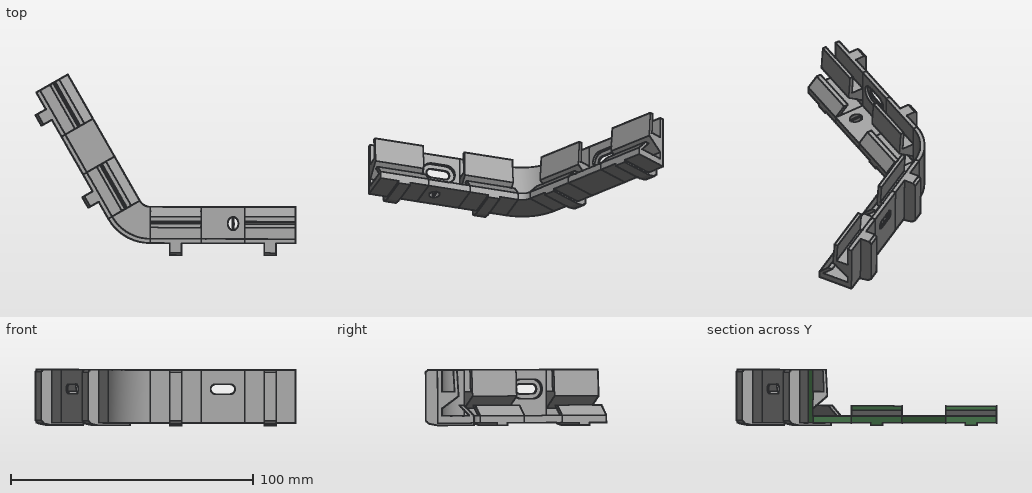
import cadquery as cq

rail_width = 15.0
wall_height = 22.0
wall_thickness = 1.8
floor_thickness = 3.0

lip_corner_height = 3.0
lip_top_height = 7.3
lip_top_inner = 10.9
lip_top_outer = 9.0
lip_root_outer = 13.1

plate_top_outer = 6.5
plate_top_inner = 8.0
plate_root_outer = 7.0
plate_root_inner = 8.65
plate_bottom_height = 11.1
gusset_root_height = 6.0
groove_floor_height = 13.0

clip_length = 21.0
window_length = 18.0

bend_inner_radius = 5.0
bend_outer_radius = bend_inner_radius + rail_width
bend_angle = 60.2

bracket_width = 5.0
bracket_reach = 4.95
bracket_drop = 1.0
bracket_top_chamfer = 1.0
bracket_bottom_chamfer = 1.3
bracket_corner_drop = 0.3

slot_length = 10.0
slot_height = 4.0
slot_center_height = 14.0
slot_web = 0.6
recess_margin = 2.0

oval_length = 5.4
oval_width = 4.3
core_length = 4.6
core_width = 0.8
oval_from_window_start = 13.2
oval_from_outer_face = 8.1

lean_about_x = 0.19
turn_about_z = -0.1


def cross_section(points, start):
    """Closed (u, z) outline on the plane across the straight rail at X = start."""
    plane = cq.Plane(origin=(start, -bend_outer_radius, 0), xDir=(0, 1, 0), normal=(1, 0, 0))
    return cq.Workplane(plane).polyline(points).close()


clip_profile = [
    (0, 0),
    (rail_width, 0),
    (rail_width, lip_corner_height),
    (lip_top_inner, lip_top_height),
    (lip_top_outer, lip_top_height),
    (lip_root_outer, floor_thickness),
    (wall_thickness, floor_thickness),
    (wall_thickness, gusset_root_height),
    (plate_root_inner, plate_bottom_height),
    (plate_top_inner, wall_height),
    (plate_top_outer, wall_height),
    (plate_root_outer, groove_floor_height),
    (wall_thickness, groove_floor_height),
    (wall_thickness, wall_height),
    (0, wall_height),
]

angle_profile = [
    (0, 0),
    (rail_width, 0),
    (rail_width, floor_thickness),
    (wall_thickness, floor_thickness),
    (wall_thickness, wall_height),
    (0, wall_height),
]

bracket_profile = [
    (0, 0),
    (rail_width, 0),
    (rail_width, -bracket_drop),
    (0, -bracket_drop),
    (bracket_bottom_chamfer - bracket_reach, -bracket_corner_drop),
    (-bracket_reach, bracket_bottom_chamfer - bracket_corner_drop),
    (-bracket_reach, wall_height - bracket_top_chamfer),
    (bracket_top_chamfer - bracket_reach, wall_height),
    (0, wall_height),
]


def make_clip_section(start):
    """Rail length with lip and plate, and one bracket at mid-length."""
    rail = cross_section(clip_profile, start).extrude(clip_length)
    bracket_start = start + (clip_length - bracket_width) / 2
    bracket = cross_section(bracket_profile, bracket_start).extrude(bracket_width)
    return rail.union(bracket)


def wall_slot(start, length, height, depth):
    """Round-ended cutter centred in a window wall, sunk outwards from the wall's inner face."""
    center = (start + window_length / 2, wall_thickness - bend_outer_radius, slot_center_height)
    return cq.Workplane("XZ", origin=center).slot2D(length, height).extrude(depth)


def make_window_section(start):
    """Plain angle-section length with a recessed slot in its wall."""
    rail = cross_section(angle_profile, start).extrude(window_length)
    slot = wall_slot(start, slot_length, slot_height, wall_thickness)
    recess = wall_slot(
        start,
        slot_length + 2 * recess_margin,
        slot_height + 2 * recess_margin,
        wall_thickness - slot_web,
    )
    return rail.cut(slot).cut(recess)


def make_bend():
    """Angle section swept round the bend axis from the first arm to the second."""
    axis_start = (bend_outer_radius, 1)
    axis_end = (bend_outer_radius, 0)
    return cross_section(angle_profile, 0).revolve(bend_angle, axis_start, axis_end)


def floor_oval(window_start, length_across, length_along):
    """Elliptical prism through the floor of a window length."""
    center = (window_start + oval_from_window_start, oval_from_outer_face - bend_outer_radius, 0)
    oval = cq.Workplane("XY", origin=center).ellipse(length_along / 2, length_across / 2)
    return oval.extrude(floor_thickness)


def to_second_arm(body):
    """Mirror a body of the first arm onto the arm at the other end of the bend."""
    return body.mirror("YZ").rotate((0, 0, 0), (0, 0, 1), -bend_angle)


window_start = clip_length
clip_starts = [0, clip_length + window_length]

bend = make_bend()
clip_sections = []
for clip_start in clip_starts:
    clip_section = make_clip_section(clip_start)
    clip_sections.append(clip_section)
    clip_sections.append(to_second_arm(clip_section))

window_section = make_window_section(window_start)
second_window_section = to_second_arm(window_section)
window_section = window_section.cut(floor_oval(window_start, oval_length, oval_width))
oval_core = floor_oval(window_start, core_length, core_width)

bodies = [bend, *clip_sections, window_section, second_window_section, oval_core]
placed_solids = []
for body in bodies:
    turned = body.rotate((0, 0, 0), (0, 0, 1), turn_about_z)
    leaned = turned.rotate((0, 0, 0), (1, 0, 0), lean_about_x)
    placed_solids.append(leaned.solids().val())

result = cq.Compound.makeCompound(placed_solids)